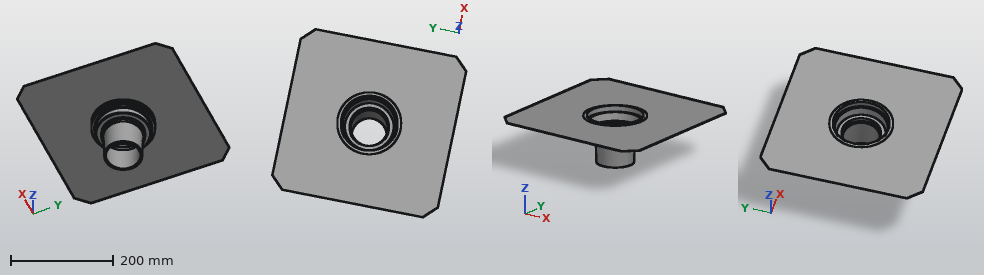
import cadquery as cq

sheet_side = 330.0
sheet_thickness = 1.2
corner_cut = 25.0
total_height = 96.5

flange_radius = 125.0 / 2
groove_radius = 116.5 / 2
flange_root_radius = 56.8
cup_top_radius = 53.8
cup_bottom_radius = 51.5
rim_radius = 106.0 / 2
shoulder_radius = 86.0 / 2
spout_top_radius = 39.3
spout_middle_radius = 38.0
spout_bottom_radius = 37.3

upper_flange_bottom = 7.3
groove_bottom = 10.0
lower_flange_top = 12.5
lower_flange_bottom = 15.5
cup_top = 16.5
cup_bottom = 27.0
rim_top = 29.5
rim_bottom = 32.0
shoulder_bottom = 37.5
spout_top = 40.3

mouth_radius = 111.0 / 2
seat_radius = 51.5
cup_floor_radius = 47.5
throat_radius = 77.0 / 2
spout_wall = 3.3
mouth_depth = 12.2
cup_floor_depth = 28.5
throat_depth = 36.5
bore_cone_end = 39.3


def make_sheet():
    sheet = cq.Workplane("XY").box(sheet_side, sheet_side, sheet_thickness, centered=(True, True, False))
    return sheet.translate((0, 0, -sheet_thickness)).edges("|Z").chamfer(corner_cut)


def revolve_steps(steps, spout_start):
    """Revolve (radius, depth) steps, ending in a gently curved spout."""
    radius_offset = spout_top_radius - steps[-1][0]
    spout_middle = (spout_start + total_height) / 2
    profile = cq.Workplane("XZ").moveTo(0, 0)
    for radius, depth in steps:
        profile = profile.lineTo(radius, -depth)
    profile = profile.threePointArc(
        (spout_middle_radius - radius_offset, -spout_middle),
        (spout_bottom_radius - radius_offset, -total_height),
    )
    return profile.lineTo(0, -total_height).close().revolve(360, (0, 0, 0), (0, 1, 0))


def make_spigot():
    steps = [
        (flange_radius, 0),
        (flange_radius, upper_flange_bottom),
        (groove_radius, upper_flange_bottom),
        (groove_radius, groove_bottom),
        (flange_radius, lower_flange_top),
        (flange_radius, lower_flange_bottom),
        (flange_root_radius, lower_flange_bottom),
        (cup_top_radius, cup_top),
        (cup_bottom_radius, cup_bottom),
        (rim_radius, rim_top),
        (rim_radius, rim_bottom),
        (shoulder_radius, rim_bottom),
        (shoulder_radius, shoulder_bottom),
        (spout_top_radius, spout_top),
    ]
    return revolve_steps(steps, spout_top)


def make_bore():
    steps = [
        (mouth_radius, 0),
        (mouth_radius, mouth_depth),
        (seat_radius, mouth_depth),
        (cup_floor_radius, cup_floor_depth),
        (throat_radius, cup_floor_depth),
        (throat_radius, throat_depth),
        (spout_top_radius - spout_wall, bore_cone_end),
    ]
    return revolve_steps(steps, bore_cone_end)


result = make_sheet().union(make_spigot()).cut(make_bore())